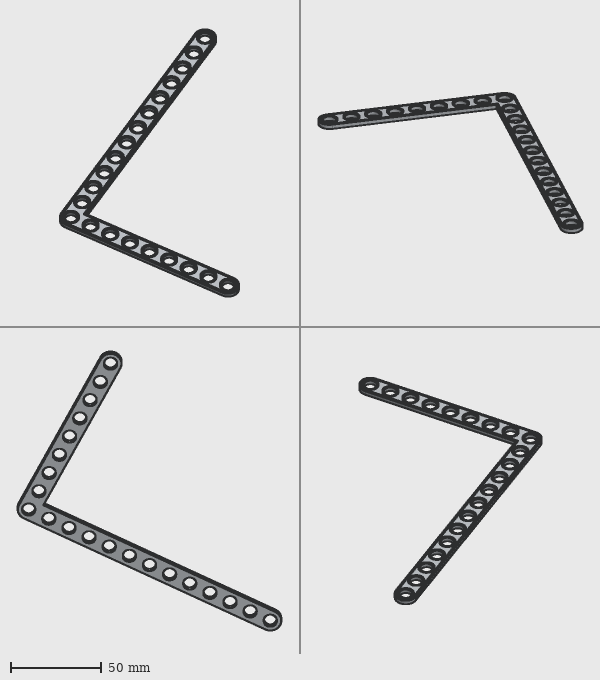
import cadquery as cq

long_side = 162.5
holes_along_y = 13
holes_along_x = 9
thickness = 3.1
hole_diameter = 7.0
ring_diameter = 9.3
edge_chamfer = 0.31
recess_depth = 0.2

pitch = long_side / holes_along_y
arm_width = pitch
rim_width = (ring_diameter - hole_diameter) / 2
recess_width = arm_width - 2 * rim_width
recess_floor = thickness - recess_depth

row_x = [(i * pitch, 0) for i in range(holes_along_x)]
row_y = [(0, i * pitch) for i in range(1, holes_along_y)]
hole_centres = row_x + row_y


def arm(hole_count, width, height):
    """Round-ended bar along +X whose ends are centred on the first and last holes."""
    span = (hole_count - 1) * pitch
    return cq.Workplane("XY").center(span / 2, 0).slot2D(span + width, width).extrude(height)


def angle_bar(width, height):
    """L-shaped bar made of two round-ended arms that meet at the origin."""
    arm_x = arm(holes_along_x, width, height)
    arm_y = arm(holes_along_y, width, height).rotate((0, 0, 0), (0, 0, 1), 90)
    return arm_x.union(arm_y).clean()


def discs(diameter, height):
    """Upright cylinder at every hole centre."""
    return cq.Workplane("XY").pushPoints(hole_centres).circle(diameter / 2).extrude(height)


def face_recess():
    """Shallow recess in the top face that leaves an outer rim and a ring round each hole."""
    outline = angle_bar(recess_width, recess_depth)
    return outline.cut(discs(ring_diameter, recess_depth)).translate((0, 0, recess_floor))


plate = angle_bar(arm_width, thickness).cut(discs(hole_diameter, thickness))
plate = plate.faces("|Z").edges().chamfer(edge_chamfer)

result = plate.cut(face_recess())